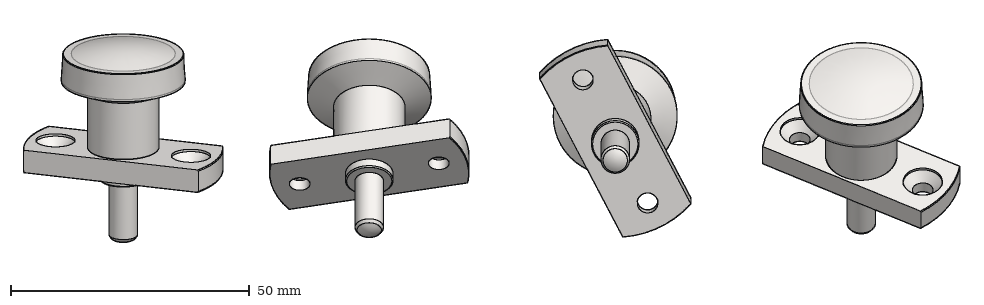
import cadquery as cq

TOTAL_HEIGHT = 43.2
PIN_CHAMFER_TOP = 1.45
PIN_DOME_RIM = 0.78
COLLAR_HEIGHT = 2.0
PLATE_THICKNESS = 5.0
PLATE_BOTTOM = 15.72
PLATE_TOP = PLATE_BOTTOM + PLATE_THICKNESS
COLLAR_BOTTOM = PLATE_BOTTOM - COLLAR_HEIGHT
NECK_TOP = 33.3
KNOB_EDGE_BOTTOM = 35.65
KNOB_EDGE_TOP = 36.1
KNOB_RIM_TOP = 41.7

PIN_DIAMETER = 6.0
PIN_DOME_DIAMETER = 5.1
COLLAR_DIAMETER = 10.0
NECK_DIAMETER = 15.0
KNOB_DIAMETER = 26.0
KNOB_TOP_DIAMETER = 25.4
KNOB_DOME_DIAMETER = 21.8

COLLAR_CHAMFER = 0.25
NECK_CHAMFER = 0.17
RIM_CHAMFER = 0.17
PLATE_CHAMFER = 0.25

PLATE_LENGTH = 41.85
PLATE_WIDTH = 16.0
HOLE_SPACING = 30.0
HOLE_DIAMETER = 4.3
COUNTERSINK_DIAMETER = 8.2
COUNTERSINK_RECESS = 0.5


def make_pin():
    """Pin with a chamfered, domed tip, reaching up into the plate."""
    radius = PIN_DIAMETER / 2
    dome_radius = PIN_DOME_DIAMETER / 2
    sphere_radius = (dome_radius**2 + PIN_DOME_RIM**2) / (2 * PIN_DOME_RIM)
    profile = (
        cq.Workplane("XZ")
        .moveTo(0, 0)
        .radiusArc((dome_radius, PIN_DOME_RIM), -sphere_radius)
        .lineTo(radius, PIN_CHAMFER_TOP)
        .lineTo(radius, PLATE_TOP)
        .lineTo(0, PLATE_TOP)
        .close()
    )
    return profile.revolve(360, (0, 0, 0), (0, 1, 0))


def make_collar():
    collar = cq.Workplane("XY").workplane(offset=COLLAR_BOTTOM).circle(COLLAR_DIAMETER / 2)
    return collar.extrude(PLATE_TOP - COLLAR_BOTTOM).faces("<Z").chamfer(COLLAR_CHAMFER)


def make_plate():
    """Chamfered disc trimmed to a bar, with two countersunk screw holes."""
    disc = (
        cq.Workplane("XY")
        .workplane(offset=PLATE_BOTTOM)
        .circle(PLATE_LENGTH / 2)
        .extrude(PLATE_THICKNESS)
        .edges()
        .chamfer(PLATE_CHAMFER, PLATE_CHAMFER / 2)
    )
    bar = (
        cq.Workplane("XY")
        .workplane(offset=PLATE_BOTTOM)
        .rect(PLATE_LENGTH, PLATE_WIDTH)
        .extrude(PLATE_THICKNESS)
    )
    plate = disc.intersect(bar)
    for side in (-1, 1):
        plate = plate.cut(make_screw_hole().translate((side * HOLE_SPACING / 2, 0, 0)))
    return plate


def make_screw_hole():
    """Cutter on the Z axis: through hole, 90 degree countersink, short recess."""
    hole_radius = HOLE_DIAMETER / 2
    sink_radius = COUNTERSINK_DIAMETER / 2
    sink_top = PLATE_TOP - COUNTERSINK_RECESS
    sink_bottom = sink_top - (sink_radius - hole_radius)
    profile = cq.Workplane("XZ").polyline([
        (0, PLATE_BOTTOM),
        (hole_radius, PLATE_BOTTOM),
        (hole_radius, sink_bottom),
        (sink_radius, sink_top),
        (sink_radius, PLATE_TOP),
        (0, PLATE_TOP),
    ])
    return profile.close().revolve(360, (0, 0, 0), (0, 1, 0))


def make_knob():
    """Neck and domed knob turned as one piece, standing on the plate."""
    neck_radius = NECK_DIAMETER / 2
    knob_radius = KNOB_DIAMETER / 2
    top_radius = KNOB_TOP_DIAMETER / 2
    dome_radius = KNOB_DOME_DIAMETER / 2
    dome_height = TOTAL_HEIGHT - KNOB_RIM_TOP
    sphere_radius = (dome_radius**2 + dome_height**2) / (2 * dome_height)
    side_top = KNOB_RIM_TOP - RIM_CHAMFER
    profile = (
        cq.Workplane("XZ")
        .moveTo(0, PLATE_TOP)
        .lineTo(neck_radius - NECK_CHAMFER, PLATE_TOP)
        .lineTo(neck_radius, PLATE_TOP + NECK_CHAMFER)
        .lineTo(neck_radius, NECK_TOP)
        .lineTo(knob_radius, KNOB_EDGE_BOTTOM)
        .lineTo(knob_radius, KNOB_EDGE_TOP)
        .lineTo(top_radius, side_top)
        .lineTo(top_radius - RIM_CHAMFER, KNOB_RIM_TOP)
        .lineTo(dome_radius, KNOB_RIM_TOP)
        .radiusArc((0, TOTAL_HEIGHT), -sphere_radius)
        .close()
    )
    return profile.revolve(360, (0, 0, 0), (0, 1, 0))


result = make_plate().union(make_collar()).union(make_pin()).union(make_knob())